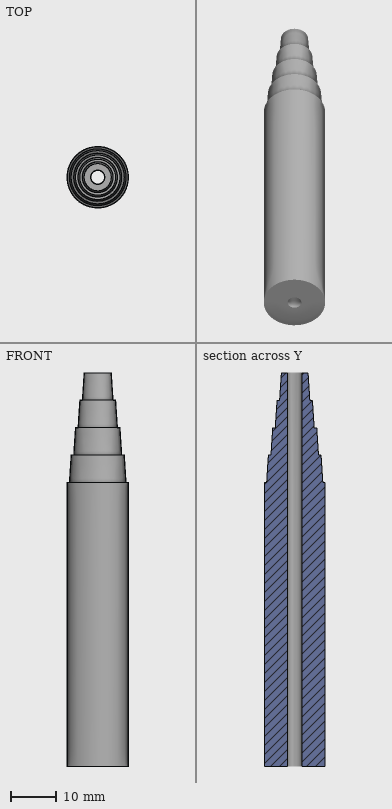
import cadquery as cq

total_height = 86.6
body_diameter = 13.5
bore_diameter = 3.0

cone_count = 4
taper_height = 24.1
cone_height = taper_height / cone_count
tip_diameter = 6.0
tip_base_diameter = 6.75
cone_growth = 1.9

body_height = total_height - taper_height


def stepped_profile():
    """Half outline of the solid, radius along X and height along Y."""
    points = [(0, 0), (body_diameter / 2, 0), (body_diameter / 2, body_height)]
    for level in range(cone_count):
        growth = (cone_count - 1 - level) * cone_growth
        base_z = body_height + level * cone_height
        points.append(((tip_base_diameter + growth) / 2, base_z))
        points.append(((tip_diameter + growth) / 2, base_z + cone_height))
    points.append((0, total_height))
    return points


outer = cq.Workplane("XZ").polyline(stepped_profile()).close().revolve(360, (0, 0, 0), (0, 1, 0))

bore = cq.Workplane("XY").circle(bore_diameter / 2).extrude(total_height)

result = outer.cut(bore)